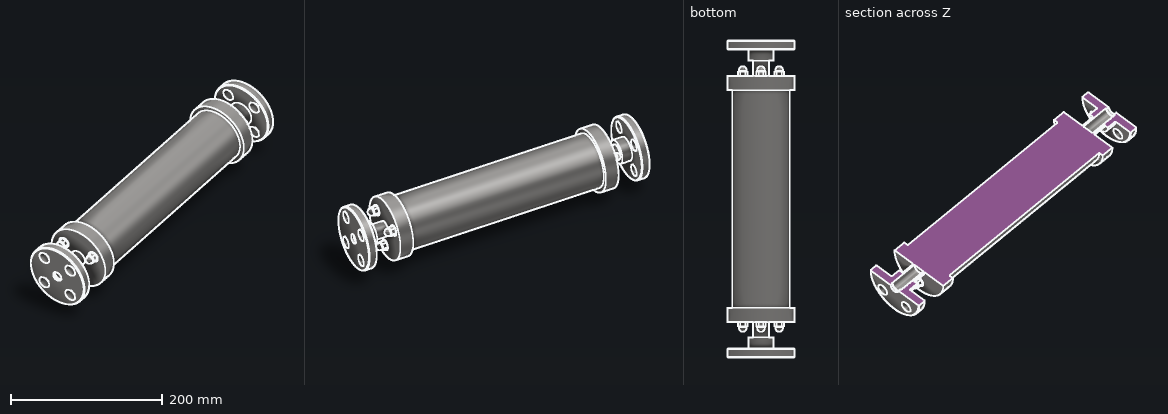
import cadquery as cq
import math

LENGTH = 419.1
HALF_LENGTH = LENGTH / 2

FLANGE_DIA = 88.9
FLANGE_THICKNESS = 12.3
FLANGE_EDGE_CHAMFER = 1.0
BOLT_HOLE_DIA = 16.0
BOLT_CIRCLE_DIA = 60.3
BOLT_HOLE_COUNT = 4

HUB_DIA = 33.54
HUB_LENGTH = 14.5
PIPE_DIA = 21.3
PIPE_LENGTH = 20.0

MOUTH_DIA = 13.36
MOUTH_DEPTH = 4.0
PIPE_BORE_DIA = 15.88

CAP_DIA = 88.9
CAP_THICKNESS = 19.05
TUBE_DIA = 76.2

NUT_COUNT = 3
NUT_CIRCLE_RADIUS = 27.8
NUT_FIRST_ANGLE = 30
NUT_ACROSS_FLATS = 11.0
NUT_HEX_HEIGHT = 5.4
NUT_COLLAR_HEIGHT = 1.2
NUT_DOME_RADIUS = 5.1
NUT_HEIGHT = 12.7
SPOTFACE_DIA = 15.0
SPOTFACE_DEPTH = 0.8

FLANGE_FACE = -HALF_LENGTH
HUB_START = FLANGE_FACE + FLANGE_THICKNESS
PIPE_START = HUB_START + HUB_LENGTH
CAP_START = PIPE_START + PIPE_LENGTH
TUBE_START = CAP_START + CAP_THICKNESS


def cylinder(diameter, start, end, x=0, z=0):
    """Cylinder parallel to Y, from Y = start to Y = end."""
    return cq.Workplane("XZ", origin=(x, start, z)).circle(diameter / 2).extrude(start - end)


def flange():
    """Flange at the -Y end, chamfered on both rims and drilled on its bolt circle."""
    disc = cylinder(FLANGE_DIA, FLANGE_FACE, HUB_START).edges().chamfer(FLANGE_EDGE_CHAMFER)
    holes = (
        cq.Workplane("XZ", origin=(0, FLANGE_FACE, 0))
        .polarArray(BOLT_CIRCLE_DIA / 2, 180 / BOLT_HOLE_COUNT, 360, BOLT_HOLE_COUNT)
        .circle(BOLT_HOLE_DIA / 2)
        .extrude(-FLANGE_THICKNESS)
    )
    return disc.cut(holes)


def bore():
    """Stepped bore from the flange face to the outer face of the cap."""
    mouth_end = FLANGE_FACE + MOUTH_DEPTH
    mouth = cylinder(MOUTH_DIA, FLANGE_FACE, mouth_end)
    return mouth.union(cylinder(PIPE_BORE_DIA, mouth_end, CAP_START))


def acorn_nut(x, z):
    """Hexagonal nut with a round collar and a dome, standing in the spotface of the -Y cap."""
    seat = CAP_START + SPOTFACE_DEPTH
    hex_top = CAP_START - NUT_HEX_HEIGHT
    collar_top = hex_top - NUT_COLLAR_HEIGHT
    dome_centre = CAP_START - NUT_HEIGHT + NUT_DOME_RADIUS
    across_corners = NUT_ACROSS_FLATS / math.cos(math.pi / 6)
    hexagon = cq.Workplane("XZ", origin=(x, seat, z)).polygon(6, across_corners).extrude(seat - hex_top)
    collar = cylinder(NUT_ACROSS_FLATS, hex_top, collar_top, x, z)
    dome = cq.Workplane("XY").sphere(NUT_DOME_RADIUS).translate((x, dome_centre, z))
    return hexagon.union(collar).union(dome)


def cap_with_nuts():
    """Housing cap at the -Y end with its ring of acorn nuts."""
    cap = cylinder(CAP_DIA, CAP_START, TUBE_START)
    for index in range(NUT_COUNT):
        angle = math.radians(NUT_FIRST_ANGLE + index * 360 / NUT_COUNT)
        x = NUT_CIRCLE_RADIUS * math.cos(angle)
        z = NUT_CIRCLE_RADIUS * math.sin(angle)
        cap = cap.cut(cylinder(SPOTFACE_DIA, CAP_START, CAP_START + SPOTFACE_DEPTH, x, z))
        cap = cap.union(acorn_nut(x, z))
    return cap


def end_assembly():
    """Everything at the -Y end, from the flange face to the inner face of the cap."""
    hub = cylinder(HUB_DIA, HUB_START, PIPE_START)
    pipe = cylinder(PIPE_DIA, PIPE_START, CAP_START)
    return flange().union(hub).union(pipe).union(cap_with_nuts()).cut(bore())


tube = cylinder(TUBE_DIA, TUBE_START, -TUBE_START)
near_end = end_assembly()
result = tube.union(near_end).union(near_end.mirror("XZ"))